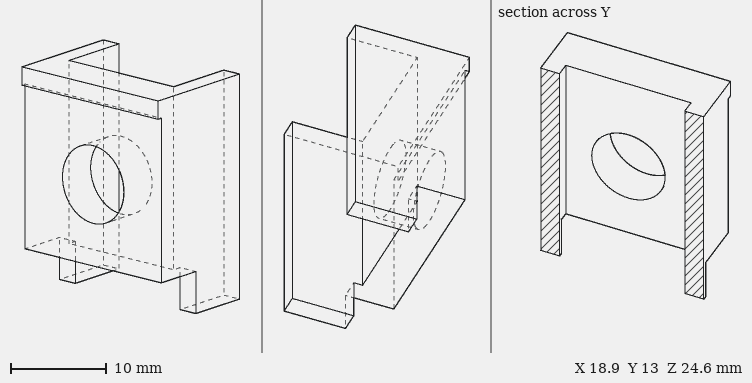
import cadquery as cq

width = 18.9
depth = 13.0
height = 24.6

lip_height = 2.0
lip_overhang = 0.5

wall_thickness = 2.2
leg_length = 4.6
leg_depth = 7.0

plate_thickness = 4.5

hole_diameter = 8.5
hole_center_z = 13.5

plate_front_y = lip_overhang
plate_back_y = plate_front_y + plate_thickness
leg_front_y = depth - leg_depth
lip_bottom_z = height - lip_height
channel_width = width - 2 * wall_thickness


def make_body():
    """Extrude the stepped side outline across the full width."""
    side_outline = [
        (0, height),
        (0, lip_bottom_z),
        (plate_front_y, lip_bottom_z),
        (plate_front_y, leg_length),
        (leg_front_y, leg_length),
        (leg_front_y, 0),
        (depth, 0),
        (depth, height),
    ]
    return (
        cq.Workplane("YZ")
        .polyline(side_outline)
        .close()
        .extrude(width / 2, both=True)
    )


def make_channel():
    """Open channel between the side walls, running the full height."""
    return cq.Workplane("XY").box(
        channel_width,
        depth - plate_back_y,
        height,
        centered=(True, False, False),
    ).translate((0, plate_back_y, 0))


def make_hole():
    """Round opening running front to back through the plate."""
    return (
        cq.Workplane("XZ")
        .center(0, hole_center_z)
        .circle(hole_diameter / 2)
        .extrude(-depth)
    )


result = make_body().cut(make_channel()).cut(make_hole())